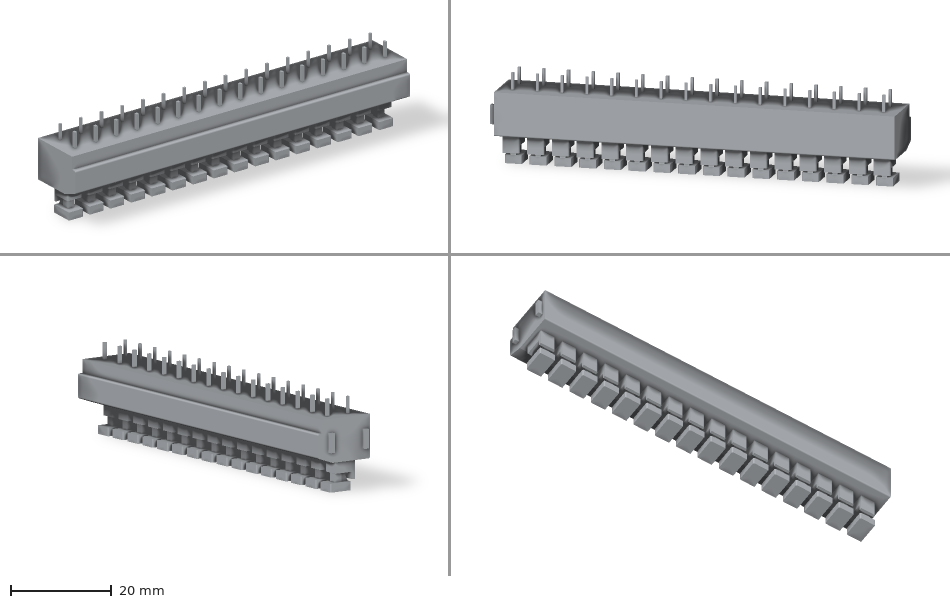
import cadquery as cq

total_width = 12.6
total_length = 83.28
total_height = 18.7

pole_count = 16
pitch = 5.08

housing_bottom = 6.25
housing_top = 15.2
step_x = 11.55
step_z = 12.4
slope_start_x = 9.1
slope_end_z = 7.45
nose_fillet = 0.35
lower_left_fillet = 0.3
rail_depth = 1.0
housing_length = total_length - rail_depth
housing_back = 41.0
housing_front = housing_back - housing_length

rail_width = 1.0
rail_bottom = 8.45
rail_top = 12.4
rail_lefts = (0.9, 9.25)

pin_depth = 0.55
pin_offset = -0.1
pin_rows = ((3.3, 0.5), (8.25, 0.75))

block_left = 3.0
block_right = 7.75
block_bottom = 3.75
block_depth = 3.4
block_fillet = 0.3
block_offset = 0.22
leg_thickness = 0.62
leg_bottom = 2.25
foot_left = 3.68
foot_right = 8.7
foot_height = 1.75
foot_depth = 3.5
foot_fillet = 0.28
foot_offset = -0.1
neck_split_x = 5.35
neck_right = 7.05
neck_narrow_depth = 1.1
neck_wide_depth = 1.6
gap_width = 0.57
gap_bottom = 2.9


def box(x_min, x_max, y_min, y_max, z_min, z_max):
    """Block spanning the given limits."""
    size = (x_max - x_min, y_max - y_min, z_max - z_min)
    return cq.Workplane("XY").box(*size, centered=False).translate((x_min, y_min, z_min))


def extrude_profile(points, y_min, y_max):
    """Extrude a closed X-Z outline from y_min to y_max."""
    return cq.Workplane("XZ", origin=(0, y_max, 0)).polyline(points).close().extrude(y_max - y_min)


def make_housing():
    outline = [
        (0, housing_bottom),
        (slope_start_x, housing_bottom),
        (total_width, slope_end_z),
        (total_width, step_z),
        (step_x, step_z),
        (step_x, housing_top),
        (0, housing_top),
    ]
    housing = extrude_profile(outline, housing_front, housing_back)
    housing = housing.edges("|Y and >X").fillet(nose_fillet)
    return housing.edges("|Y and <X").edges("<Z").fillet(lower_left_fillet)


def make_rail(left):
    return box(left, left + rail_width, housing_back, housing_back + rail_depth, rail_bottom, rail_top)


def make_pin(center_x, width, y):
    return box(
        center_x - width / 2, center_x + width / 2,
        y - pin_depth / 2, y + pin_depth / 2,
        housing_top, total_height,
    )


def make_block(front):
    """Sleeve below the housing, with a thin leg running further down along its left side."""
    back = front + block_depth
    block = box(block_left, block_right, front, back, leg_bottom, housing_bottom)
    block = block.edges("|Z and <Y").fillet(block_fillet)
    clearance = box(block_left + leg_thickness, block_right, front, back, leg_bottom, block_bottom)
    return block.cut(clearance)


def make_neck(y):
    """Stem from sleeve to foot: a narrow left part with a sloped root and a wider right part."""
    narrow_outline = [
        (foot_left, foot_height),
        (neck_split_x, foot_height),
        (neck_split_x, block_bottom),
        (foot_left + gap_width, block_bottom),
        (foot_left + gap_width, gap_bottom),
    ]
    narrow_part = extrude_profile(narrow_outline, y - neck_narrow_depth / 2, y + neck_narrow_depth / 2)
    wide_part = box(
        neck_split_x, neck_right,
        y - neck_wide_depth / 2, y + neck_wide_depth / 2,
        foot_height, block_bottom,
    )
    return narrow_part.union(wide_part)


def make_foot(y):
    foot = box(foot_left, foot_right, y - foot_depth / 2, y + foot_depth / 2, 0, foot_height)
    return foot.edges("|Z and >Y").fillet(foot_fillet)


def make_button(y):
    block = make_block(y + block_offset - block_depth / 2)
    foot_y = y + foot_offset
    return block.union(make_neck(foot_y)).union(make_foot(foot_y))


result = make_housing()
for rail_left in rail_lefts:
    result = result.union(make_rail(rail_left))
for pole in range(pole_count):
    pole_y = (pole - (pole_count - 1) / 2) * pitch
    result = result.union(make_button(pole_y))
    for pin_x, pin_width in pin_rows:
        result = result.union(make_pin(pin_x, pin_width, pole_y + pin_offset))